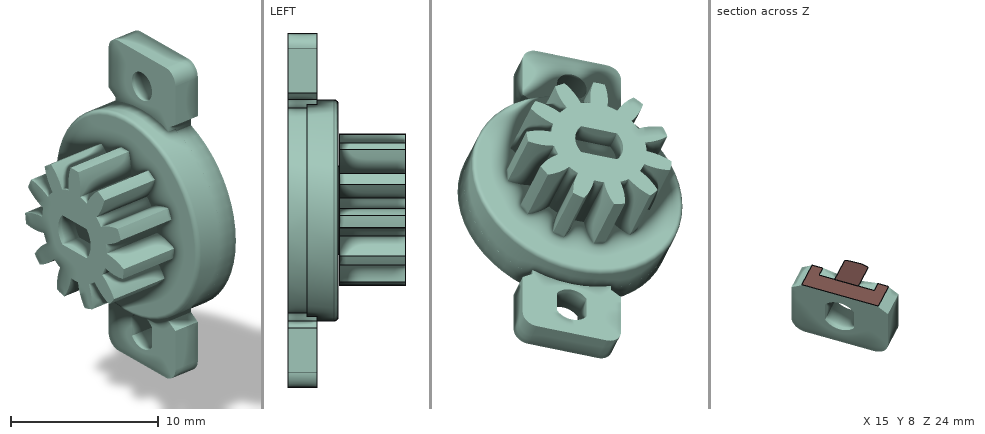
import cadquery as cq
import math


total_height = 24.0
total_depth = 8.0

housing_diameter = 15.0
base_depth = 1.3
cover_front = 3.4
cover_fillet = 0.3
ear_depth = 2.0
ear_width = 7.0
ear_corner_radius = 1.0
neck_width = 5.6
neck_end = 7.5
ear_shoulder = 7.97
ear_relief_radius = 7.7

mount_offset = 9.5
mount_hole_diameter = 2.1
slot_diameter = 2.6

boss_diameter = 10.6
hub_diameter = 6.0
gear_back = 3.5
tooth_count = 11
tip_radius = 5.18
root_radius = 3.38
tip_half_width = 0.4
flank_half_width = 0.6
flank_middle_radius = 4.32

bore_diameter = 3.4
bore_flat_distance = 2.25
bore_depth = 1.5


def front_plane(depth):
    """Plane parallel to XZ at the given depth from the rear face, facing -Y."""
    return cq.Workplane("XZ", origin=(0, -depth, 0))


def disc(diameter, start, end):
    """Round disc on the pinion axis between two depths."""
    return front_plane(start).circle(diameter / 2).extrude(end - start)


def double_flat(diameter, width, height, start, end):
    """Round bar trimmed by a width x height rectangle."""
    block = front_plane(start).rect(width, height).extrude(end - start)
    return disc(diameter, start, end).intersect(block)


def upper_ear():
    """Ear with a narrow neck, sloping shoulders and rounded outer corners."""
    half_width = ear_width / 2
    half_neck = neck_width / 2
    top = total_height / 2
    outline = [
        (-half_neck, 0),
        (-half_neck, neck_end),
        (-half_width, ear_shoulder),
        (-half_width, top),
        (half_width, top),
        (half_width, ear_shoulder),
        (half_neck, neck_end),
        (half_neck, 0),
    ]
    ear = front_plane(0).polyline(outline).close().extrude(ear_depth)
    return ear.edges("|Y and >Z").fillet(ear_corner_radius)


def make_ears():
    """Both ears with their mounting holes, stepped back to clear the cover ring."""
    upper = upper_ear()
    ears = upper.union(upper.mirror("XY"))
    ears = ears.cut(disc(2 * ear_relief_radius, base_depth, ear_depth))

    round_hole = disc(mount_hole_diameter, 0, ear_depth)
    slot = double_flat(slot_diameter, mount_hole_diameter, slot_diameter, 0, ear_depth)
    ears = ears.cut(round_hole.translate((0, 0, mount_offset)))
    return ears.cut(slot.translate((0, 0, -mount_offset)))


def make_cover_ring():
    """Ring lying on the base disc, with its outer front edge rounded."""
    ring = disc(housing_diameter, base_depth, cover_front)
    ring = ring.faces("<Y").edges().fillet(cover_fillet)
    return ring.cut(disc(boss_diameter, base_depth, cover_front))


def make_tooth():
    """Tooth pointing to +Z, with bulged flanks and a tip on the outer circle."""
    root_height = math.sqrt(root_radius**2 - flank_half_width**2)
    tip_height = math.sqrt(tip_radius**2 - tip_half_width**2)
    return (
        front_plane(gear_back)
        .moveTo(-flank_half_width, 0)
        .lineTo(-flank_half_width, root_height)
        .threePointArc((-flank_half_width, flank_middle_radius), (-tip_half_width, tip_height))
        .threePointArc((0, tip_radius), (tip_half_width, tip_height))
        .threePointArc((flank_half_width, flank_middle_radius), (flank_half_width, root_height))
        .lineTo(flank_half_width, 0)
        .close()
        .extrude(total_depth - gear_back)
    )


def make_pinion():
    """Toothed wheel with a blind double-flat bore in its front face."""
    pinion = disc(2 * root_radius, gear_back, total_depth)
    tooth = make_tooth()
    for index in range(tooth_count):
        angle = index * 360 / tooth_count
        pinion = pinion.union(tooth.rotate((0, 0, 0), (0, 1, 0), angle))

    bore_floor = total_depth - bore_depth
    bore = double_flat(bore_diameter, bore_diameter, bore_flat_distance, bore_floor, total_depth)
    return pinion.cut(bore)


def make_base():
    """Base disc with ears, carrying the central boss, the hub and the pinion."""
    base = disc(housing_diameter, 0, base_depth).union(make_ears())
    base = base.union(disc(boss_diameter, base_depth, cover_front))
    base = base.union(disc(hub_diameter, cover_front, gear_back))
    return base.union(make_pinion())


base = make_base()
cover_ring = make_cover_ring()

result = cq.Compound.makeCompound([base.val(), cover_ring.val()])